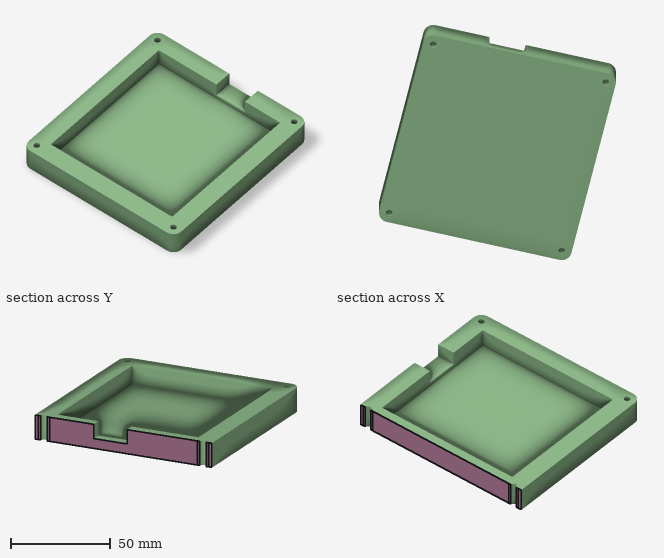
import cadquery as cq

tray_width = 98.8
tray_length = 104.8
tray_height = 13.0
corner_radius = 5.0

wall = 10.1
pocket_depth = 10.1

notch_width = 18.5
notch_depth = 7.5
notch_center_x = 7.3

bushing_diameter = 6.0
bore_diameter = 3.4
bushing_x = tray_width / 2 - corner_radius
bushing_y = tray_length / 2 - corner_radius
bushing_centers = [(sx * bushing_x, sy * bushing_y) for sx in (-1, 1) for sy in (-1, 1)]


def make_pocket():
    return (
        cq.Workplane("XY", origin=(0, 0, tray_height - pocket_depth))
        .rect(tray_width - 2 * wall, tray_length - 2 * wall)
        .extrude(pocket_depth)
    )


def make_notch():
    notch_center_y = (tray_length - wall) / 2
    return (
        cq.Workplane("XY", origin=(notch_center_x, notch_center_y, tray_height - notch_depth))
        .rect(notch_width, wall)
        .extrude(notch_depth)
    )


def make_tray():
    block = (
        cq.Workplane("XY")
        .rect(tray_width, tray_length)
        .extrude(tray_height)
        .edges("|Z")
        .fillet(corner_radius)
    )
    bushing_seats = (
        cq.Workplane("XY")
        .pushPoints(bushing_centers)
        .circle(bushing_diameter / 2)
        .extrude(tray_height)
    )
    return block.cut(make_pocket()).cut(make_notch()).cut(bushing_seats)


def make_bushing(center):
    """Full-height sleeve, flush with the tray at both ends."""
    return (
        cq.Workplane("XY")
        .center(*center)
        .circle(bushing_diameter / 2)
        .circle(bore_diameter / 2)
        .extrude(tray_height)
    )


tray = make_tray()
bushings = [make_bushing(center) for center in bushing_centers]

result = cq.Compound.makeCompound([tray.val(), *[bushing.val() for bushing in bushings]])